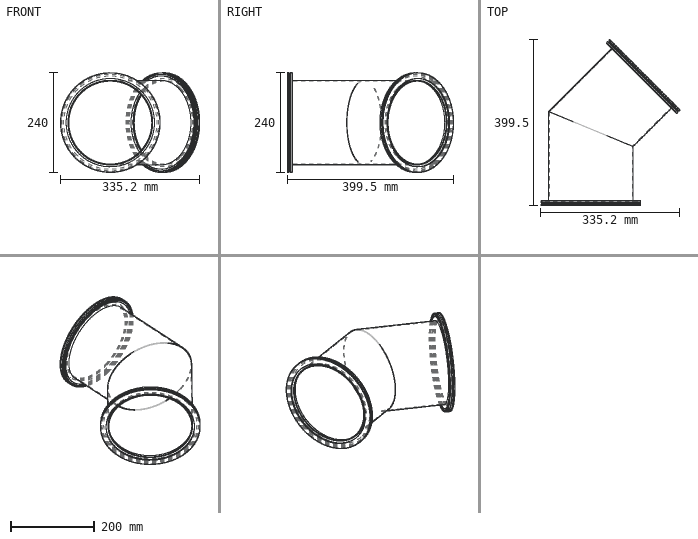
import cadquery as cq
import math

overall_length = 399.5
bend_angle = 45.0
pipe_diameter = 203.8
pipe_bore_diameter = 199.8

flange_diameter = 240.0
flange_thickness = 12.0
rim_chamfer = 0.8
recess_diameter = 212.5
recess_depth = 3.0
lip_thickness = 1.5
rim_groove_start = 3.0
rim_groove_width = 4.0
rim_groove_depth = 3.5
back_groove_inner_radius = 112.3
back_groove_width = 4.0
back_groove_depth = 1.5

turn = math.radians(bend_angle)
pipe_radius = pipe_diameter / 2
bore_radius = pipe_bore_diameter / 2
flange_radius = flange_diameter / 2
recess_radius = recess_diameter / 2
back_groove_outer_radius = back_groove_inner_radius + back_groove_width

arm_length = (overall_length - flange_radius * math.sin(turn)) / (1 + math.cos(turn))
socket_start = recess_depth + lip_thickness
pipe_length = arm_length - socket_start

mitre_centre = cq.Vector(0, arm_length, 0)
inlet_direction = cq.Vector(0, 1, 0)
outlet_direction = cq.Vector(math.sin(turn), math.cos(turn), 0)
outlet_face_centre = mitre_centre + outlet_direction * arm_length
up = cq.Vector(0, 0, 1)


def mitred_rod(radius):
    """Solid rod following both arms from one pipe end to the other."""
    overrun = 2 * radius
    inlet = cq.Workplane(
        cq.Plane(mitre_centre - inlet_direction * pipe_length, up, inlet_direction)
    ).circle(radius).extrude(pipe_length + overrun)
    outlet = cq.Workplane(
        cq.Plane(mitre_centre + outlet_direction * pipe_length, up, outlet_direction * -1)
    ).circle(radius).extrude(pipe_length + overrun)

    mitre_plane = cq.Plane(mitre_centre, up, inlet_direction + outlet_direction)
    block_size = 4 * arm_length
    outlet_side = cq.Workplane(mitre_plane).rect(block_size, block_size).extrude(block_size)
    return inlet.cut(outlet_side).union(outlet.intersect(outlet_side))


def make_elbow():
    """Thin pipe of two straight arms meeting in a mitre."""
    return mitred_rod(pipe_radius).cut(mitred_rod(bore_radius))


def make_flange(face_centre, inward):
    """Flange with its face at face_centre; the pipe leaves in the inward direction."""
    section = cq.Plane(face_centre, inward.cross(up), up)
    back_groove_floor = flange_thickness - back_groove_depth
    profile = [
        (flange_radius, 0),
        (recess_radius, 0),
        (recess_radius, recess_depth),
        (bore_radius, recess_depth),
        (bore_radius, socket_start),
        (pipe_radius, socket_start),
        (pipe_radius, flange_thickness),
        (back_groove_inner_radius, flange_thickness),
        (back_groove_inner_radius, back_groove_floor),
        (back_groove_outer_radius, back_groove_floor),
        (back_groove_outer_radius, flange_thickness),
        (flange_radius - rim_chamfer, flange_thickness),
        (flange_radius, flange_thickness - rim_chamfer),
        (flange_radius, rim_groove_start + rim_groove_width),
        (flange_radius - rim_groove_depth, rim_groove_start + rim_groove_width / 2),
        (flange_radius, rim_groove_start),
    ]
    return cq.Workplane(section).polyline(profile).close().revolve(360, (0, 0), (0, 1))


elbow = make_elbow()
flanges = [
    make_flange(face_centre, inward).val()
    for face_centre, inward in [
        (cq.Vector(0, 0, 0), inlet_direction),
        (outlet_face_centre, outlet_direction * -1),
    ]
]

result = cq.Compound.makeCompound([elbow.val(), *flanges])